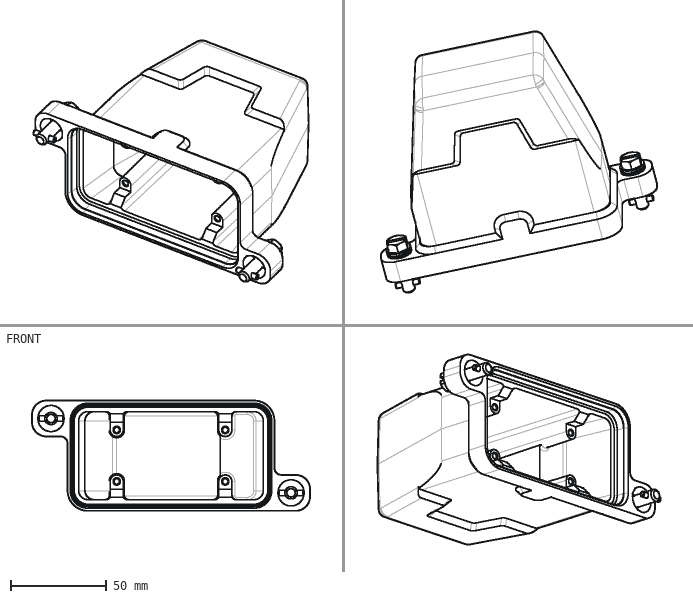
import cadquery as cq
import math


flange_half_x = 54.3
half_z = 28.98
flange_thickness = 12.1
flange_corner_radius = 10.8
ear_reach = 73.0
ear_height = 19.0
ear_corner_radius = 7.7
ear_inner_radius = 3.5
screw_x = 62.9
screw_z = half_z - ear_height / 2
screw_places = [(-screw_x, screw_z), (screw_x, -screw_z)]
counterbore_radius = 6.9
ear_floor = 2.6

hood_half_x = 51.4
hood_half_z = 26.0
hood_corner_radius = 8.5
hood_end_half_x = 33.9
hood_end_y = 101.0
taper_start_y = 35.3
side_draft = 1.2
upper_edge_radius = 4.1
end_edge_radius = 5.0
skirt_height = 2.9
step = half_z - hood_half_z

step_y = 58.4
step_notch_y = 76.4
notch_base_half_x = 19.4
notch_top_half_x = 14.9
step_slope_y = 3.2
step_slope_x = 2.3
notch_corner_radius = 3.2

tab_half_x = 10.4
tab_end_y = 24.7
tab_corner_radius = 6.7

seat_lead_in = [(0.0, 1.5), (2.3, 2.3)]
seat_wall = [(2.3, 2.6), (6.9, 2.8), (8.3, 3.5)]
seat_depth = seat_wall[-1][0]
mouth_half_x = flange_half_x - 5.91
mouth_half_z = half_z - 5.91
pocket_end_y = 38.7
pocket_end_half_x = 44.4
pocket_corner_radius = 4.8
shelf_edge_radius = 1.3
cavity_end_y = 88.3
cavity_right_x = 25.8
cavity_taper_x = -45.1
cavity_taper_y = 32.8
cavity_edge_radius = 2.0
post_embed_y = 2.2

post_x = 28.5
post_z = 13.5
post_radius = 3.4
post_foot_radius = 2.2
post_front_y = 18.1
post_draft = 0.5
post_hole_radius = 1.5
post_hole_mouth_radius = 1.9
post_hole_depth = 11.7
ramp_inner_z = 17.7
ramp_inner_y = 12.5
wall_z = 24.0

shank_radius = 3.2
shank_end_y = -11.0
shank_chamfer = 1.0
crossbar_y = -6.5
crossbar_radius = 1.5
crossbar_half_length = 6.5
crossbar_chamfer = 0.5
washer_radius = 6.5
washer_gap_radius = 5.7
lower_washer_top = 12.8
upper_washer_base = 13.6
head_base_y = 14.9
head_top_y = 19.7
head_across_flats = 10.1
head_chamfer = 0.6
slot_width = 2.0
slot_depth = 2.0


def rounded_frustum(y0, half_x0, half_z0, radius0, y1, half_x1, half_z1, radius1):
    """Solid between two rounded rectangles at heights y0 and y1."""
    lower = cq.Sketch().rect(2 * half_x0, 2 * half_z0).vertices().fillet(radius0)
    upper = cq.Sketch().rect(2 * half_x1, 2 * half_z1).vertices().fillet(radius1)
    upper = upper.moved(cq.Location(cq.Vector(0, 0, y0 - y1)))
    return cq.Workplane("XZ", origin=(0, y0, 0)).placeSketch(lower, upper).loft()


def cylinder_along_y(x, z, radius, y0, y1):
    return cq.Workplane("XZ", origin=(x, y1, z)).circle(radius).extrude(y1 - y0)


def both_halves(half):
    """A shape on the +Z side together with its mirror image."""
    return half.union(half.mirror("XY"))


def drafted_half(outline, height):
    """Outline in XY extruded up from z = 0, its sides drafted inward."""
    return cq.Workplane("XY").polyline(outline).close().extrude(height, taper=side_draft)


def drafted_prism(outline, half_height):
    """Outline in XY extruded both ways from z = 0, its sides drafted inward."""
    return both_halves(drafted_half(outline, half_height))


def hood_outline():
    return [
        (-hood_half_x, 0),
        (hood_half_x, 0),
        (hood_half_x, taper_start_y),
        (hood_end_half_x, hood_end_y),
        (-hood_end_half_x, hood_end_y),
        (-hood_half_x, taper_start_y),
    ]


def make_ear():
    """Ear on the -X, +Z corner with its blended inner corner."""
    ear_bottom = half_z - ear_height
    ear = (
        cq.Workplane("XZ")
        .center(-ear_reach / 2, screw_z)
        .rect(ear_reach, ear_height)
        .extrude(-flange_thickness)
        .edges("|Y and <X")
        .fillet(ear_corner_radius)
    )
    blend = (
        cq.Workplane("XZ")
        .moveTo(-flange_half_x - ear_inner_radius, ear_bottom)
        .radiusArc((-flange_half_x, ear_bottom - ear_inner_radius), ear_inner_radius)
        .lineTo(-flange_half_x, ear_bottom)
        .close()
        .extrude(-flange_thickness)
    )
    return ear.union(blend)


def make_flange():
    plate = (
        cq.Workplane("XZ")
        .rect(2 * flange_half_x, 2 * half_z)
        .extrude(-flange_thickness)
        .edges("|Y")
        .fillet(flange_corner_radius)
    )
    ear = make_ear()
    opposite_ear = ear.rotate((0, 0, 0), (0, 1, 0), 180)
    skirt = rounded_frustum(
        flange_thickness, flange_half_x, half_z, flange_corner_radius,
        flange_thickness + skirt_height, hood_half_x, hood_half_z, flange_corner_radius - step,
    )
    return plate.union(ear).union(opposite_ear).union(skirt)


def make_lower_hood():
    """Lower hood with large corners, trimmed to the tapering outline."""
    block = drafted_prism(
        [
            (-hood_half_x, 0),
            (hood_half_x, 0),
            (hood_half_x, hood_end_y),
            (-hood_half_x, hood_end_y),
        ],
        hood_half_z,
    )
    corners = block.faces(">Z or <Z").edges("<X or >X")
    block = corners.fillet(hood_corner_radius)
    above_step = cq.Workplane("XY", origin=(0, step_y + ear_reach, 0)).box(
        2 * ear_reach, 2 * ear_reach, 4 * half_z
    )
    return block.intersect(drafted_prism(hood_outline(), half_z)).cut(above_step)


def step_wire_points(spread):
    """Step outline; spread 0 is its foot and spread 1 its upper rim."""
    shift_x = spread * step_slope_x
    shift_y = spread * step_slope_y
    base_x = notch_base_half_x + shift_x
    top_x = notch_top_half_x + shift_x
    base_y = step_y + shift_y
    top_y = step_notch_y + shift_y
    far_x = flange_half_x + shift_x
    return [
        (-far_x, 0), (far_x, 0), (far_x, base_y), (base_x, base_y),
        (top_x, top_y), (-top_x, top_y), (-base_x, base_y), (-far_x, base_y),
    ]


def make_step_cutter():
    """Region removed from the upper hood on the +Z side, leaving a sloped step."""
    cutter = (
        cq.Workplane("XY", origin=(0, 0, hood_half_z))
        .polyline(step_wire_points(0))
        .close()
        .workplane(offset=step)
        .polyline(step_wire_points(1))
        .close()
        .loft(ruled=True)
    )
    notch_zone = cq.selectors.BoxSelector(
        (-notch_base_half_x - step_slope_x, 0, hood_half_z),
        (notch_base_half_x + step_slope_x, hood_end_y, half_z),
    )
    sloped_edges = cutter.edges("not(#Z)").edges(notch_zone)
    return sloped_edges.fillet(notch_corner_radius)


def make_upper_hood():
    """Raised end of the hood, with rounded edges and the stepped foot."""
    half = drafted_half(hood_outline(), half_z)
    above_parting = cq.selectors.BoxSelector(
        (-hood_half_x, step, step), (hood_half_x, 2 * hood_end_y, 2 * half_z)
    )
    half = half.faces(">Y").edges(above_parting).fillet(end_edge_radius)
    tapering = cq.selectors.BoxSelector(
        (-hood_half_x, taper_start_y, step), (hood_half_x, step_notch_y, 2 * half_z)
    )
    half = half.faces(">Z").edges("not(|X)").edges(tapering).fillet(upper_edge_radius)
    below_step = cq.Workplane("XY").box(2 * ear_reach, 2 * step_y, 4 * half_z)
    return both_halves(half.cut(below_step).cut(make_step_cutter()))


def make_tabs():
    """Sloped, arched tab above the flange on each broad face."""
    tab = (
        cq.Workplane("XY", origin=(0, 0, hood_half_z))
        .moveTo(-tab_half_x, flange_thickness / 2)
        .lineTo(-tab_half_x, tab_end_y - tab_corner_radius)
        .radiusArc((-tab_half_x + tab_corner_radius, tab_end_y), tab_corner_radius)
        .lineTo(tab_half_x - tab_corner_radius, tab_end_y)
        .radiusArc((tab_half_x, tab_end_y - tab_corner_radius), tab_corner_radius)
        .lineTo(tab_half_x, flange_thickness / 2)
        .close()
        .extrude(step, taper=45)
    )
    return both_halves(tab)


def make_seal_seat():
    """Stepped recess around the mouth."""
    seat = cq.Workplane("XY")
    sections = [*zip(seat_lead_in, seat_lead_in[1:]), *zip(seat_wall, seat_wall[1:])]
    for (y0, inset0), (y1, inset1) in sections:
        seat = seat.union(
            rounded_frustum(
                y0, flange_half_x - inset0, half_z - inset0, flange_corner_radius - inset0,
                y1, flange_half_x - inset1, half_z - inset1, flange_corner_radius - inset1,
            )
        )
    return seat


def make_pocket():
    """Front pocket that narrows down to the shelf."""
    pocket = rounded_frustum(
        seat_depth, mouth_half_x, mouth_half_z, pocket_corner_radius,
        pocket_end_y, pocket_end_half_x, mouth_half_z, pocket_corner_radius,
    )
    behind_taper = cq.Workplane("XY").box(half_z, flange_half_x, 4 * half_z, centered=(True, False, True))
    return pocket.cut(behind_taper.translate((cavity_taper_x, cavity_taper_y, 0)))


def make_cavity():
    """Deep cavity behind the pocket; its -X wall runs parallel to the tapering outside."""
    wall_slope = (hood_half_x - hood_end_half_x) / (hood_end_y - taper_start_y)
    end_left_x = cavity_taper_x + wall_slope * (cavity_end_y - cavity_taper_y)
    cavity = (
        cq.Workplane("XY", origin=(0, 0, -mouth_half_z))
        .moveTo(cavity_taper_x, cavity_taper_y)
        .lineTo(end_left_x, cavity_end_y)
        .lineTo(cavity_right_x, cavity_end_y)
        .lineTo(cavity_right_x, cavity_taper_y)
        .close()
        .extrude(2 * mouth_half_z)
    )
    left_wall = cq.selectors.BoxSelector(
        (cavity_taper_x, cavity_taper_y, -half_z), (end_left_x, cavity_end_y, half_z)
    )
    cavity = cavity.edges("#Z").edges(left_wall).fillet(pocket_corner_radius)
    return cavity.faces(">Y").edges("<X or >Z").fillet(cavity_edge_radius)


def post_outline(workplane, radius):
    """Post section: round toward the middle, flaring where it meets the wall."""
    foot_half_x = radius + post_foot_radius
    foot_z = mouth_half_z - post_foot_radius
    return (
        workplane.moveTo(-foot_half_x, wall_z)
        .lineTo(-foot_half_x, mouth_half_z)
        .radiusArc((-radius, foot_z), post_foot_radius)
        .lineTo(-radius, post_z)
        .radiusArc((radius, post_z), -radius)
        .lineTo(radius, foot_z)
        .radiusArc((foot_half_x, mouth_half_z), post_foot_radius)
        .lineTo(foot_half_x, wall_z)
        .close()
    )


def make_post():
    """Drafted post on the +Z wall at x = 0, with the ramp that leads up to it."""
    length = cavity_end_y + post_embed_y - seat_depth
    base_radius = post_radius + length * math.tan(math.radians(post_draft))
    front = cq.Workplane("XZ", origin=(0, seat_depth, 0))
    section = post_outline(front, post_radius).workplane(offset=-length)
    post = post_outline(section, base_radius).loft(ruled=True)
    above_ramp = (
        cq.Workplane("YZ", origin=(-2 * post_radius, 0, 0))
        .moveTo(seat_depth, 0)
        .lineTo(seat_depth, ramp_inner_z + ramp_inner_y - seat_depth)
        .lineTo(ramp_inner_y, ramp_inner_z)
        .lineTo(post_front_y, ramp_inner_z)
        .lineTo(post_front_y, 0)
        .close()
        .extrude(4 * post_radius)
    )
    hole = cylinder_along_y(0, post_z, post_hole_radius, post_front_y, post_front_y + post_hole_depth)
    hole = hole.union(
        cq.Workplane("XZ", origin=(0, post_front_y, post_z))
        .circle(post_hole_mouth_radius)
        .workplane(offset=post_hole_radius - post_hole_mouth_radius)
        .circle(post_hole_radius)
        .loft()
    )
    return post.cut(above_ramp).cut(hole)


def make_hollow():
    """Space inside the hood: pocket and cavity around four posts, with a rounded shelf."""
    hollow = make_pocket().union(make_cavity())
    upper_post = make_post()
    for post in (upper_post, upper_post.mirror("XY")):
        for x in (-post_x, post_x):
            hollow = hollow.cut(post.translate((x, 0, 0)))
    shelf_zone = cq.selectors.BoxSelector(
        (cavity_right_x + 0.1, pocket_end_y - 0.1, -half_z), (hood_half_x, pocket_end_y + 0.1, half_z)
    )
    return hollow.edges(shelf_zone).fillet(shelf_edge_radius)


def make_hood():
    """Hood with flange, ears, cavity and four posts."""
    hood = make_lower_hood().union(make_upper_hood()).union(make_flange()).union(make_tabs())
    hood = hood.cut(make_seal_seat()).cut(make_hollow())
    for x, z in screw_places:
        hood = hood.cut(cylinder_along_y(x, z, counterbore_radius, 0, flange_thickness - ear_floor))
        hood = hood.cut(cylinder_along_y(x, z, shank_radius, 0, flange_thickness))
    return hood


def make_locking_screw(x, z):
    """Slotted hexagon screw with two washers and a crossbar near its tip."""
    shank = cylinder_along_y(0, 0, shank_radius, shank_end_y, head_base_y)
    shank = shank.faces("<Y").chamfer(shank_chamfer)
    crossbar = (
        cq.Workplane("YZ", origin=(-crossbar_half_length, crossbar_y, 0))
        .circle(crossbar_radius)
        .extrude(2 * crossbar_half_length)
        .faces("<X or >X")
        .chamfer(crossbar_chamfer)
    )
    washers = (
        cylinder_along_y(0, 0, washer_gap_radius, flange_thickness, head_base_y)
        .union(cylinder_along_y(0, 0, washer_radius, flange_thickness, lower_washer_top))
        .union(cylinder_along_y(0, 0, washer_radius, upper_washer_base, head_base_y))
    )
    head_height = head_top_y - head_base_y
    across_corners = head_across_flats / math.cos(math.radians(30))
    hexagon = (
        cq.Workplane("XZ", origin=(0, head_top_y, 0))
        .transformed(rotate=(0, 0, 90))
        .polygon(6, across_corners)
        .extrude(head_height)
    )
    turned_blank = cylinder_along_y(0, 0, across_corners / 2, head_base_y, head_top_y)
    head = hexagon.intersect(turned_blank.faces(">Y").chamfer(head_chamfer))
    slot = cq.Workplane("XY", origin=(0, head_top_y, 0)).box(
        across_corners, 2 * slot_depth, slot_width
    )
    screw = shank.union(crossbar).union(washers).union(head).cut(slot)
    return screw.translate((x, 0, z))


hood = make_hood()
locking_screws = [make_locking_screw(x, z) for x, z in screw_places]

result = cq.Compound.makeCompound([hood.val(), *[screw.val() for screw in locking_screws]])